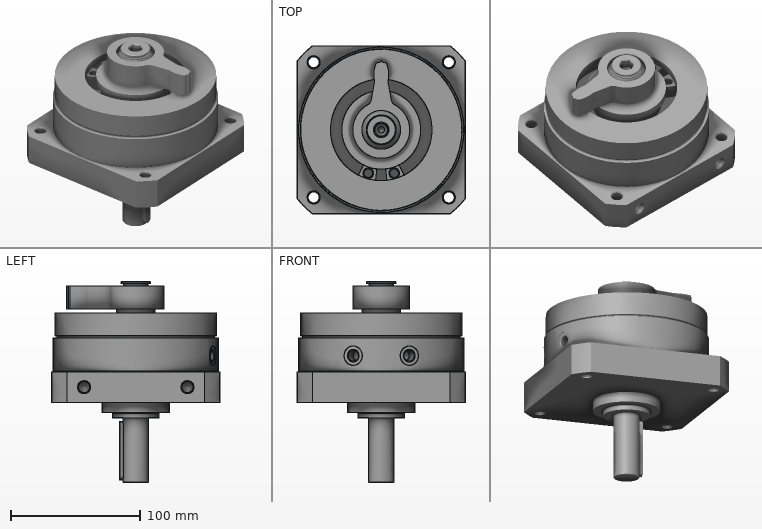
import cadquery as cq
import math


shaft_dia = 20.0
shaft_tip_chamfer = 0.5
collar_dia = 36.0
collar_bottom = 49.9
collar_top = 53.3
collar_neck_dia = 34.4
journal_dia = 30.0
journal_end_dia = 22.9
journal_end_step = 0.6
journal_cone_height = 3.1
end_neck_dia = 19.0
end_head_dia = 23.0
end_head_bottom = 153.6
end_head_chamfer = 0.6
shaft_top = 155.5

socket_flats = 10.0
socket_rim_dia = 12.0
socket_depth = 7.8
socket_pilot_dia = 5.0
socket_pilot_depth = 3.1
drill_tip_angle = 118.0

key_width = 6.0
key_outer_y = 12.5
key_bottom = 2.0
key_top = 47.0

pilot_dia = 52.0
pilot_bottom = 54.0
plate_side = 130.0
plate_bottom = 61.7
plate_top = 85.5
plate_corner_dia = 168.1
body_dia = 128.0
body_top = 111.5
groove_dia = 122.0
rim_chamfer = 0.5
ring_dia = 125.0
ring_bottom = 113.2
ring_top = 131.1

mount_hole_dia = 8.5
mount_hole_offset = 52.2
side_hole_dia = 8.5
side_hole_offset = 40.0
side_hole_depth = 9.3
hole_chamfer = 0.8

port_spotface_dia = 15.0
port_spotface_radius = 63.3
port_hole_dia = 8.4
port_hole_depth = 11.8
port_chamfer = 0.6
port_angle = 20.0
port_height = 98.0

slot_mouth_outer_dia = 78.5
slot_mouth_inner_dia = 61.0
slot_outer_dia = 90.0
slot_inner_dia = 53.0
slot_root_fillet = 1.1
slot_lip = 6.0
slot_depth = 17.5
web_angle = 16.6
web_half_angle = 10.2
web_hole_radius = 35.0
web_hole_dia = 6.7
web_hole_rim_dia = 8.1

lever_bottom = 134.0
lever_top = 152.0
hub_dia = 44.0
pointer_tip_y = 53.5
pointer_half_width = 1.4
arm_end_y = 52.1
arm_end_half_width = 3.1
arm_shoulder = (4.2, 51.0)
arm_bulge = (5.8, 43.2)
arm_waist_top = (5.3, 37.5)
arm_waist_bottom = (5.3, 36.7)
arm_root = (7.8, 23.0)
root_flare_middle = (8.5, 21.3)
root_flare_x = 10.0


def cylinder(diameter, bottom, top):
    """Solid cylinder on the shaft axis between two heights."""
    return cq.Workplane("XY").workplane(offset=bottom).circle(diameter / 2).extrude(top - bottom)


def drill(diameter, depth, rim_dia=0.0):
    """Drill-shaped cutter that enters along -Z from the origin, with an optional 45-degree rim chamfer."""
    radius = diameter / 2
    tip = radius / math.tan(math.radians(drill_tip_angle / 2))
    cutter = (
        cq.Workplane("XZ")
        .polyline([(0, 0), (radius, 0), (radius, -depth), (0, -depth - tip)])
        .close()
        .revolve(360, (0, 0), (0, 1))
    )
    if rim_dia > diameter:
        cutter = cutter.union(countersink(rim_dia))
    return cutter


def countersink(rim_dia, rim_height=0.0):
    """45-degree cone cutter pointing down, with its rim on the axis at a given height."""
    return (
        cq.Workplane("XZ", origin=(0, 0, rim_height))
        .polyline([(0, 0), (rim_dia / 2, 0), (0, -rim_dia / 2)])
        .close()
        .revolve(360, (0, 0), (0, 1))
    )


def make_plate():
    """Square plate with corners turned to a large circle, four mounting holes and two side holes."""
    height = plate_top - plate_bottom
    plate = cq.Workplane("XY").workplane(offset=plate_bottom).rect(plate_side, plate_side).extrude(height)
    plate = plate.intersect(cylinder(plate_corner_dia, plate_bottom, plate_top))

    mount_cutter = cylinder(mount_hole_dia, plate_bottom, plate_top)
    mount_cutter = mount_cutter.union(countersink(mount_hole_dia + 2 * hole_chamfer, plate_top))
    for x in (-mount_hole_offset, mount_hole_offset):
        for y in (-mount_hole_offset, mount_hole_offset):
            plate = plate.cut(mount_cutter.translate((x, y, 0)))

    side_cutter = drill(side_hole_dia, side_hole_depth, side_hole_dia + 2 * hole_chamfer)
    side_cutter = side_cutter.rotate((0, 0, 0), (0, 1, 0), -90)
    middle = (plate_bottom + plate_top) / 2
    for y in (-side_hole_offset, side_hole_offset):
        plate = plate.cut(side_cutter.translate((-plate_side / 2, y, middle)))
    return plate


def port_cutter(angle):
    """Spotfaced blind port entering radially at an angle from -Y."""
    spotface_depth = body_dia / 2 - port_spotface_radius
    spotface = cq.Workplane("XY").circle(port_spotface_dia / 2).extrude(spotface_depth)
    cutter = drill(port_hole_dia, port_hole_depth, port_hole_dia + 2 * port_chamfer).union(spotface)
    cutter = cutter.translate((0, 0, port_spotface_radius)).rotate((0, 0, 0), (1, 0, 0), 90)
    return cutter.rotate((0, 0, 0), (0, 0, 1), angle).translate((0, 0, port_height))


def web_sector(angle):
    """Sector-shaped prism that one web fills, at an angle from -Y, as high as the slot below its lips."""
    reach = slot_outer_dia
    directions = [math.radians(angle + side * web_half_angle - 90) for side in (-1, 1)]
    corners = [(reach * math.cos(a), reach * math.sin(a)) for a in directions]
    return (
        cq.Workplane("XY")
        .workplane(offset=ring_top - slot_depth)
        .polyline([(0, 0)] + corners)
        .close()
        .extrude(slot_depth - slot_lip)
    )


def t_slot():
    """Ring-shaped T-slot cutter, interrupted by the two webs."""
    lip_bottom = ring_top - slot_lip
    floor = ring_top - slot_depth
    mouth = cylinder(slot_mouth_outer_dia, lip_bottom, ring_top)
    mouth = mouth.cut(cylinder(slot_mouth_inner_dia, lip_bottom, ring_top))
    chamber = cylinder(slot_outer_dia, floor, lip_bottom).cut(cylinder(slot_inner_dia, floor, lip_bottom))
    chamber = chamber.edges(cq.selectors.RadiusNthSelector(0)).edges("<Z").fillet(slot_root_fillet)
    for angle in (-web_angle, web_angle):
        chamber = chamber.cut(web_sector(angle))
    return mouth.union(chamber)


def web_hole_cutter(angle):
    """Countersunk hole through one web, at an angle from -Y."""
    web_top = ring_top - slot_lip
    cutter = cylinder(web_hole_dia, ring_top - slot_depth, web_top)
    cutter = cutter.union(countersink(web_hole_rim_dia, web_top))
    return cutter.translate((0, -web_hole_radius, 0)).rotate((0, 0, 0), (0, 0, 1), angle)


def make_housing():
    """Stack of spigot, plate, body, groove and ring with its ports, T-slot and shaft bore."""
    housing = cylinder(pilot_dia, pilot_bottom, plate_bottom).union(make_plate())
    housing = housing.union(cylinder(body_dia, plate_top, body_top).edges("<Z").chamfer(rim_chamfer))
    housing = housing.union(cylinder(groove_dia, body_top, ring_bottom))
    housing = housing.union(cylinder(ring_dia, ring_bottom, ring_top).edges("<Z").chamfer(rim_chamfer))

    for angle in (-port_angle, port_angle):
        housing = housing.cut(port_cutter(angle))

    housing = housing.cut(t_slot())
    for angle in (-web_angle, web_angle):
        housing = housing.cut(web_hole_cutter(angle))

    return housing.cut(cylinder(journal_dia, pilot_bottom, ring_top))


def socket_cutter():
    """Hexagon socket with a chamfered rim, a conical floor and a small drilled centre."""
    corners_dia = socket_flats / math.cos(math.radians(30))
    hexagon = cq.Workplane("XY").polygon(6, corners_dia).extrude(-socket_depth)
    cutter = hexagon.union(drill(socket_flats, socket_depth)).union(countersink(socket_rim_dia))
    return cutter.union(drill(socket_pilot_dia, socket_depth + socket_pilot_depth))


def make_key():
    """Round-ended feather key, standing along the shaft."""
    return (
        cq.Workplane("XZ", origin=(0, key_outer_y, (key_bottom + key_top) / 2))
        .slot2D(key_top - key_bottom, key_width, 90)
        .extrude(key_width)
    )


def make_shaft(key):
    """Output shaft with a collar below, a journal through housing and lever, and a headed top end."""
    shaft = cylinder(shaft_dia, 0, collar_bottom).faces("<Z").chamfer(shaft_tip_chamfer)
    shaft = shaft.union(cylinder(collar_dia, collar_bottom, collar_top))
    shaft = shaft.union(cylinder(collar_neck_dia, collar_top, pilot_bottom))
    cone_width = (journal_dia - journal_end_dia) / 2
    cone_top = lever_top - journal_end_step
    journal = cylinder(journal_dia, pilot_bottom, cone_top)
    journal = journal.faces(">Z").edges().chamfer(journal_cone_height, cone_width)
    journal = journal.union(cylinder(journal_end_dia, cone_top, lever_top))
    head = cylinder(end_head_dia, end_head_bottom, shaft_top).faces(">Z").chamfer(end_head_chamfer)
    shaft = shaft.union(journal).union(cylinder(end_neck_dia, lever_top, end_head_bottom)).union(head)
    return shaft.cut(socket_cutter().translate((0, 0, shaft_top))).cut(key)


def mirrored(point):
    """Outline point on the opposite (-X) side of the lever arm."""
    return (-point[0], point[1])


def make_lever():
    """Round hub with a waisted arm towards +Y that ends in a small pointed tip."""
    height = lever_top - lever_bottom
    root_flare_end = (root_flare_x, math.sqrt((hub_dia / 2) ** 2 - root_flare_x**2))
    arm = (
        cq.Workplane("XY")
        .workplane(offset=lever_bottom)
        .moveTo(*root_flare_end)
        .threePointArc(root_flare_middle, arm_root)
        .lineTo(*arm_waist_bottom)
        .lineTo(*arm_waist_top)
        .threePointArc(arm_bulge, arm_shoulder)
        .lineTo(arm_end_half_width, arm_end_y)
        .lineTo(pointer_half_width, arm_end_y)
        .lineTo(0, pointer_tip_y)
        .lineTo(-pointer_half_width, arm_end_y)
        .lineTo(-arm_end_half_width, arm_end_y)
        .lineTo(*mirrored(arm_shoulder))
        .threePointArc(mirrored(arm_bulge), mirrored(arm_waist_top))
        .lineTo(*mirrored(arm_waist_bottom))
        .lineTo(*mirrored(arm_root))
        .threePointArc(mirrored(root_flare_middle), mirrored(root_flare_end))
        .lineTo(0, 0)
        .close()
        .extrude(height)
    )
    lever = cylinder(hub_dia, lever_bottom, lever_top).union(arm)
    return lever.cut(cylinder(journal_dia, lever_bottom, lever_top))


housing = make_housing()
key = make_key()
shaft = make_shaft(key)
lever = make_lever()

result = cq.Compound.makeCompound([body.solids().val() for body in (housing, shaft, key, lever)])